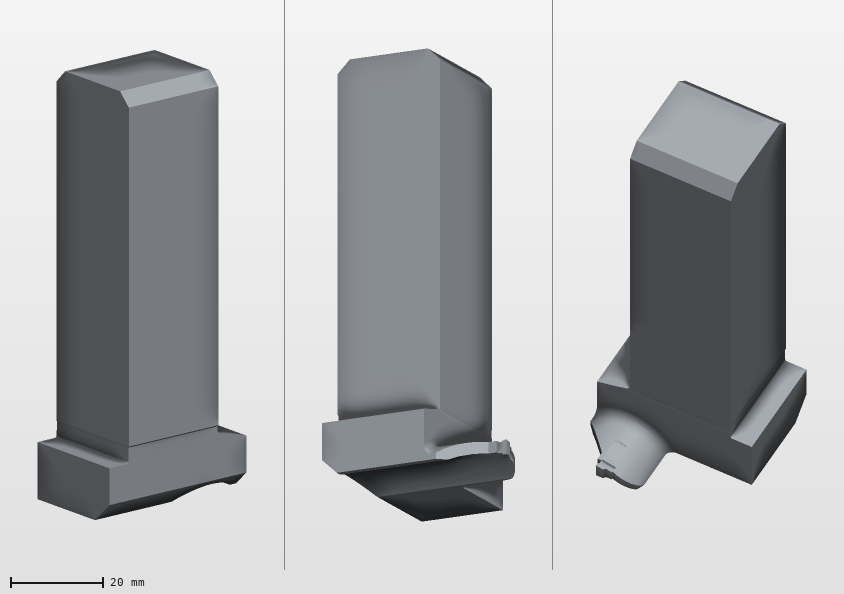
import cadquery as cq
import math

FAR = 100.0

shank_size = 25.0
total_height = 97.09
shank_bottom = 17.0
shank_top_chamfer = 3.0

neck_front = 0.1
neck_taper_height = 0.35
ledge_z = 13.0
ledge_fillet = 0.5

head_left = -0.1
head_right = 24.7
head_front = -5.2
head_depth = 38.31
head_back = head_front + head_depth
head_chamfer_width = 5.0
head_chamfer_height = 4.6
head_slope = math.radians(14)
back_corner_fillet = 1.2
left_step_top = 14.95
left_step_bottom = 14.25
back_bottom_z = 1.25

outer_radius = 11.25
outer_center_y = 25.2
outer_center_z = -5.35
inner_radius = 12.3
inner_center_y = 24.6
inner_center_z = -9.0
blade_end = -15.05
blade_root_fillet = 1.7
blade_back_corner_x = -3.1
blade_nose_x = -12.0
blade_nose_end_x = -13.95
blade_nose_y = 25.4
blade_front_y = outer_center_y - math.sqrt(outer_radius**2 - outer_center_z**2)
end_curve_start_y = 21.0
end_curve_middle = (-14.15, 17.1)
end_curve_finish_x = -10.8

insert_tip = -16.0
insert_rear = -7.5
insert_front_y = 21.06
insert_back_y = 24.5
insert_rear_chamfer = 0.6
seat_floor = 4.0
tip_bottom = 2.85
tip_back_y = 24.7
tip_edge_front_y = 23.05
tip_relief_x = -15.4
tip_relief_y = 22.45
tip_rear = -13.5
tip_rise = 0.25
chip_groove_front = -15.8
chip_groove_low = -14.0
chip_groove_rear = -13.75
chip_groove_depth = 0.4


def outer_z(y):
    """Height of the blade's outer cylinder at y."""
    return outer_center_z + math.sqrt(outer_radius**2 - (y - outer_center_y) ** 2)


def box(x0, x1, y0, y1, z0, z1):
    return cq.Workplane("XY").box(x1 - x0, y1 - y0, z1 - z0, centered=False).translate((x0, y0, z0))


def along_x(outline, x0, x1):
    """Prism along X from a closed list of (y, z) points."""
    return cq.Workplane("YZ", origin=(x0, 0, 0)).polyline(outline).close().extrude(x1 - x0)


def along_y(outline, y0, y1):
    """Prism along Y from a closed list of (x, z) points."""
    return cq.Workplane("XZ", origin=(0, y0, 0)).polyline(outline).close().extrude(y0 - y1)


def cylinder_x(radius, y, z, x0, x1):
    return cq.Workplane("YZ", origin=(x0, y, z)).circle(radius).extrude(x1 - x0)


def make_shank():
    bar = box(0, shank_size, 0, shank_size, shank_bottom, total_height)
    return bar.faces(">Z").edges("|Y").chamfer(shank_top_chamfer)


def make_head():
    """Head and neck up to the shank, with the thin steps on the left, front and right."""
    corner_z = ledge_z + (head_back - shank_size) * math.tan(head_slope)
    side = along_x(
        [
            (head_front, 0),
            (head_back, 0),
            (head_back, ledge_z),
            (shank_size, corner_z),
            (shank_size, shank_bottom),
            (0, shank_bottom),
            (neck_front, shank_bottom - neck_taper_height),
            (neck_front, ledge_z),
            (head_front, ledge_z),
        ],
        head_left,
        shank_size,
    )
    side = side.edges(cq.selectors.NearestToPointSelector((shank_size / 2, shank_size, corner_z)))
    side = side.fillet(back_corner_fillet)
    side = side.edges(cq.selectors.NearestToPointSelector((shank_size / 2, neck_front, ledge_z)))
    side = side.fillet(ledge_fillet)
    front = along_y(
        [
            (head_left, 0),
            (head_right - head_chamfer_width, 0),
            (head_right, head_chamfer_height),
            (head_right, shank_bottom - neck_taper_height),
            (shank_size, shank_bottom),
            (0, shank_bottom),
            (0, left_step_top),
            (head_left, left_step_bottom),
        ],
        head_front,
        head_back,
    )
    return side.intersect(front)


def make_blade():
    """Plan outline of the blade trimmed to its outer cylinder."""
    plan = (
        cq.Workplane("XY")
        .moveTo(0, blade_front_y - outer_radius)
        .lineTo(0, head_back)
        .lineTo(blade_back_corner_x, head_back)
        .lineTo(blade_nose_x, blade_nose_y)
        .lineTo(blade_nose_end_x, blade_nose_y)
        .lineTo(blade_nose_end_x, insert_back_y)
        .lineTo(blade_end, insert_back_y)
        .lineTo(blade_end, end_curve_start_y)
        .threePointArc(end_curve_middle, (end_curve_finish_x, blade_front_y))
        .lineTo(end_curve_finish_x, blade_front_y - outer_radius)
        .close()
        .extrude(outer_radius)
    )
    return plan.intersect(cylinder_x(outer_radius, outer_center_y, outer_center_z, -FAR, FAR))


def make_seat_block(front_x):
    """Block over the seat, from front_x to its chamfered rear end; also cuts the seat, open upward."""
    block = box(front_x, insert_rear, insert_front_y, insert_back_y, seat_floor, outer_radius)
    return block.faces(">X").edges("|Z").chamfer(insert_rear_chamfer)


def make_holder():
    body = make_head().union(make_shank()).union(make_blade())
    crown = (head_left, outer_center_y, outer_center_z + outer_radius)
    root = body.edges(cq.selectors.NearestToPointSelector(crown))
    body = root.fillet(blade_root_fillet)
    arch = cylinder_x(inner_radius, inner_center_y, inner_center_z, -FAR, FAR)
    back_relief = box(-FAR, FAR, inner_center_y, FAR, -FAR, back_bottom_z)
    body = body.cut(arch).cut(back_relief)
    return body.cut(make_seat_block(insert_tip))


def make_insert():
    """Insert flush with the blade's outer face, its tip overhanging the blade's end."""
    slope = (outer_z(insert_back_y) - outer_z(insert_front_y)) / (insert_back_y - insert_front_y)

    def top_z(y):
        return outer_z(insert_front_y) + slope * (y - insert_front_y)

    def below_top(x0, x1, rise):
        y0 = insert_front_y
        y1 = tip_back_y
        return along_x([(y0, 0), (y1, 0), (y1, top_z(y1) + rise), (y0, top_z(y0) + rise)], x0, x1)

    seated = make_seat_block(blade_end)
    seated = seated.intersect(
        below_top(blade_end, tip_rear, tip_rise).union(below_top(tip_rear, insert_rear, 0))
    )
    tip = (
        cq.Workplane("XY", origin=(0, 0, tip_bottom))
        .moveTo(blade_end, insert_front_y)
        .lineTo(blade_end, tip_back_y)
        .lineTo(insert_tip, tip_back_y)
        .lineTo(insert_tip, tip_edge_front_y)
        .lineTo(tip_relief_x, tip_relief_y)
        .lineTo(tip_relief_x, insert_front_y)
        .close()
        .extrude(outer_radius)
        .intersect(below_top(insert_tip, blade_end, tip_rise))
    )
    vee = (
        cq.Workplane("XZ")
        .polyline(
            [
                (chip_groove_front, tip_rise),
                (chip_groove_low, tip_rise - chip_groove_depth),
                (chip_groove_rear, tip_rise),
            ]
        )
        .close()
        .extrude(FAR, both=True)
        .rotate((0, 0, 0), (1, 0, 0), math.degrees(math.atan(slope)))
        .translate((0, insert_front_y, top_z(insert_front_y)))
    )
    return seated.union(tip).cut(vee)


holder = make_holder()
insert = make_insert()
result = cq.Compound.makeCompound([holder.val(), insert.val()])